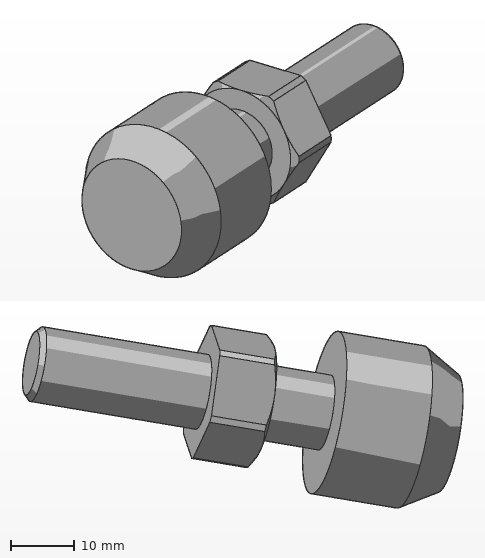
import cadquery as cq
import math

TOTAL_LENGTH = 68.0

STUD_DIAMETER = 12.0
STUD_TIP_CHAMFER = 0.9
PAD_DIAMETER = 26.0
PAD_FACE_DIAMETER = 19.05
PAD_LENGTH = 20.0
PAD_TAPER_LENGTH = 6.0

NUT_ACROSS_FLATS = 19.0
NUT_CORNER_DIAMETER = 21.3
NUT_THICKNESS = 9.65
NUT_GAP_TO_PAD = 10.5
NUT_CHAMFER_ANGLE = 30.0
NUT_TURN_ANGLE = 30.0

FRONT_Y = -TOTAL_LENGTH / 2
BACK_Y = TOTAL_LENGTH / 2
PAD_BACK_Y = FRONT_Y + PAD_LENGTH
NUT_FRONT_Y = PAD_BACK_Y + NUT_GAP_TO_PAD
NUT_BACK_Y = NUT_FRONT_Y + NUT_THICKNESS


def revolve_about_y(outline):
    """Turn a closed outline of (radius, y) points around the Y axis."""
    return cq.Workplane("XY").polyline(outline).close().revolve(360, (0, 0, 0), (0, 1, 0))


def make_padded_stud():
    """Plain round stud ending in a larger pad with a tapered front."""
    stud_radius = STUD_DIAMETER / 2
    pad_radius = PAD_DIAMETER / 2
    return revolve_about_y([
        (0, FRONT_Y),
        (PAD_FACE_DIAMETER / 2, FRONT_Y),
        (pad_radius, FRONT_Y + PAD_TAPER_LENGTH),
        (pad_radius, PAD_BACK_Y),
        (stud_radius, PAD_BACK_Y),
        (stud_radius, BACK_Y - STUD_TIP_CHAMFER),
        (stud_radius - STUD_TIP_CHAMFER, BACK_Y),
        (0, BACK_Y),
    ])


def make_nut():
    """Hexagon with rounded corners, chamfered on the side facing the pad."""
    face_radius = NUT_ACROSS_FLATS / 2
    corner_radius = NUT_CORNER_DIAMETER / 2
    chamfer_length = (corner_radius - face_radius) * math.tan(math.radians(NUT_CHAMFER_ANGLE))

    hexagon = (
        cq.Workplane("XZ", origin=(0, NUT_BACK_Y, 0))
        .polygon(6, NUT_ACROSS_FLATS, circumscribed=True)
        .extrude(NUT_THICKNESS)
        .rotate((0, 0, 0), (0, 1, 0), NUT_TURN_ANGLE)
    )

    bore_radius = STUD_DIAMETER / 2
    turned_envelope = revolve_about_y([
        (bore_radius, NUT_FRONT_Y),
        (face_radius, NUT_FRONT_Y),
        (corner_radius, NUT_FRONT_Y + chamfer_length),
        (corner_radius, NUT_BACK_Y),
        (bore_radius, NUT_BACK_Y),
    ])
    return hexagon.intersect(turned_envelope)


padded_stud = make_padded_stud()
nut = make_nut()

result = cq.Compound.makeCompound([padded_stud.val(), *nut.solids().vals()])